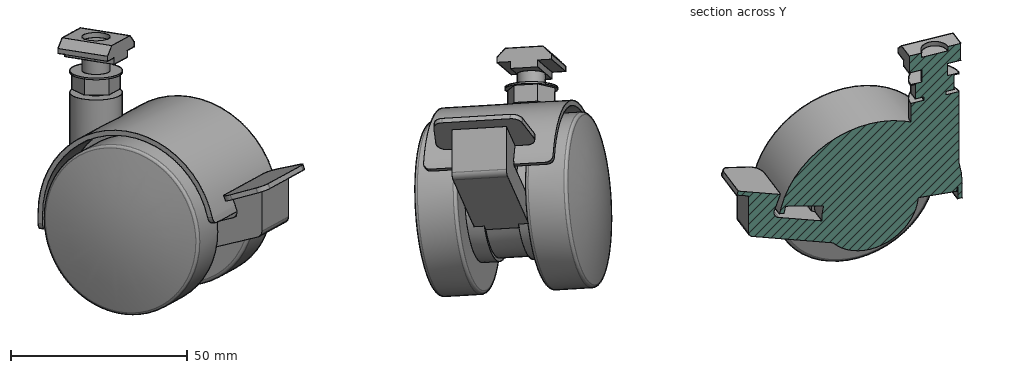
import cadquery as cq
import math


wheel_radius = 25.0
wheel_inner_y = 10.0
wheel_rim_y = 22.3
wheel_crown_y = 25.5
wheel_edge_fillet = 1.0
wheel_hub_radius = 16.0

body_thickness = 10.0
body_hub_radius = 15.0
web_start_angle = 15.0
web_end_angle = 185.0

cover_outer_radius = 28.5
cover_wall = 1.5
cover_inner_radius = cover_outer_radius - cover_wall
cover_width = 38.0
cover_front_drop = 5.0
cover_rear_angle = 10.0
cover_corner_radius = 2.0

lever_tilt = 20.0
pedal_start = 30.0
pedal_length = 14.0
pedal_thickness = 1.5
pedal_root_width = 30.0
pedal_taper = 10.0
pedal_corner_radius = 3.0
lever_thickness = 16.0
lever_notch_depth = 6.0
lever_depth = 13.0
lever_rear_x = 37.7
lever_corner_radius = 2.0

stem_x = -20.0
stem_diameter = 15.0
stem_top_z = 32.0
neck_diameter = 7.0
nut_bottom_z = 33.0
nut_across_flats = 12.0
nut_height = 5.0
washer_diameter = 15.0
washer_thickness = 0.5
bolt_diameter = 8.0
bolt_exposed_length = 4.0
head_length = 16.0
head_width = 16.0
head_top_width = 11.0
head_neck_width = 8.0
head_neck_height = 2.0
head_side_height = 1.5
head_height = 6.0
head_hole_depth = 1.5

washer_bottom_z = nut_bottom_z + nut_height
head_bottom_z = washer_bottom_z + washer_thickness + bolt_exposed_length
head_top_z = head_bottom_z + head_height


def polar(radius, angle):
    """Point in the XZ plane at an angle measured from +X towards +Z."""
    return radius * math.cos(math.radians(angle)), radius * math.sin(math.radians(angle))


def y_cylinder(radius, width):
    """Cylinder on the axle, centred on the mid plane."""
    return cq.Workplane("XZ").circle(radius).extrude(width / 2, both=True)


def z_cylinder(diameter, bottom_z, top_z):
    """Upright cylinder on the stem axis."""
    base = cq.Workplane("XY").workplane(offset=bottom_z).center(stem_x, 0)
    return base.circle(diameter / 2).extrude(top_z - bottom_z)


def make_wheel():
    """Wheel on the +Y side with a domed outer face and rounded rims."""
    crown_rise = wheel_crown_y - wheel_rim_y
    dome_radius = (wheel_radius**2 + crown_rise**2) / (2 * crown_rise)
    mid_r = wheel_radius / 2
    mid_y = wheel_crown_y - dome_radius + math.sqrt(dome_radius**2 - mid_r**2)
    profile = (
        cq.Workplane("XY")
        .moveTo(0, wheel_inner_y)
        .lineTo(wheel_radius, wheel_inner_y)
        .lineTo(wheel_radius, wheel_rim_y)
        .threePointArc((mid_r, mid_y), (0, wheel_crown_y))
        .close()
    )
    wheel = profile.revolve(360, (0, 0, 0), (0, 1, 0))
    return wheel.edges(cq.selectors.RadiusNthSelector(0)).fillet(wheel_edge_fillet)


def make_wheel_hubs():
    """Wheel hubs filling the gaps between the body and the two wheels."""
    full_hub = y_cylinder(wheel_hub_radius, 2 * wheel_inner_y)
    return full_hub.cut(y_cylinder(wheel_hub_radius, body_thickness))


def make_body():
    """Round hub with a sector web that carries the cover."""
    start = polar(cover_inner_radius, web_start_angle)
    middle = polar(cover_inner_radius, (web_start_angle + web_end_angle) / 2)
    end = polar(cover_inner_radius, web_end_angle)
    web = (
        cq.Workplane("XZ")
        .lineTo(*start)
        .threePointArc(middle, end)
        .close()
        .extrude(body_thickness / 2, both=True)
    )
    return y_cylinder(body_hub_radius, body_thickness).union(web)


def make_cover():
    """Curved shell, straight below the axle at the front, with rounded corners."""
    top_angle = (cover_rear_angle + 180) / 2
    shell = (
        cq.Workplane("XZ")
        .moveTo(-cover_outer_radius, -cover_front_drop)
        .lineTo(-cover_outer_radius, 0)
        .threePointArc(polar(cover_outer_radius, top_angle), polar(cover_outer_radius, cover_rear_angle))
        .lineTo(*polar(cover_inner_radius, cover_rear_angle))
        .threePointArc(polar(cover_inner_radius, top_angle), (-cover_inner_radius, 0))
        .lineTo(-cover_inner_radius, -cover_front_drop)
        .close()
        .extrude(cover_width / 2, both=True)
    )
    middle_x, middle_z = polar((cover_inner_radius + cover_outer_radius) / 2, cover_rear_angle)
    corners = []
    for side in (-1, 1):
        side_y = side * cover_width / 2
        corners.append((-cover_outer_radius + cover_wall / 2, side_y, -cover_front_drop))
        corners.append((middle_x, side_y, middle_z))
    for corner in corners:
        edge = shell.edges(cq.selectors.NearestToPointSelector(corner))
        shell = edge.fillet(cover_corner_radius)
    return shell


def make_lever():
    """Brake lever: a tapered pedal plate on a notched arm that runs into the hub."""
    pedal_end = pedal_start + pedal_length
    root_half = pedal_root_width / 2
    end_half = root_half - pedal_length * math.tan(math.radians(pedal_taper))
    pedal = (
        cq.Workplane("XY")
        .polyline([
            (pedal_start, -root_half),
            (pedal_end, -end_half),
            (pedal_end, end_half),
            (pedal_start, root_half),
        ])
        .close()
        .extrude(pedal_thickness)
        .edges("|Z")
        .fillet(pedal_corner_radius)
    )

    tilt = math.radians(lever_tilt)
    rear_top = lever_rear_x / math.cos(tilt)
    rear_bottom = rear_top - lever_depth * math.tan(tilt)
    arm = (
        cq.Workplane("XZ")
        .polyline([
            (0, -lever_depth),
            (rear_bottom, -lever_depth),
            (rear_top, 0),
            (pedal_start, 0),
            (pedal_start, -lever_notch_depth),
            (0, -lever_notch_depth),
        ])
        .close()
        .extrude(lever_thickness / 2, both=True)
    )
    for corner in ((rear_bottom, 0, -lever_depth), (pedal_start, 0, -lever_notch_depth)):
        arm = arm.edges(cq.selectors.NearestToPointSelector(corner)).fillet(lever_corner_radius)

    return pedal.union(arm).rotate((0, 0, 0), (0, 1, 0), -lever_tilt)


def make_stem():
    """Stem tube blended into the cover, with neck, nut, washer and bolt above it."""
    cavity = y_cylinder(cover_inner_radius, cover_width)
    stem = z_cylinder(stem_diameter, 0, stem_top_z).cut(cavity)
    neck = z_cylinder(neck_diameter, stem_top_z, nut_bottom_z)
    nut = (
        cq.Workplane("XY")
        .workplane(offset=nut_bottom_z)
        .center(stem_x, 0)
        .polygon(6, nut_across_flats, circumscribed=True)
        .extrude(nut_height)
    )
    washer = z_cylinder(washer_diameter, washer_bottom_z, washer_bottom_z + washer_thickness)
    bolt = z_cylinder(bolt_diameter, washer_bottom_z, head_bottom_z)
    return stem.union(neck).union(nut).union(washer).union(bolt)


def make_head():
    """T-slot head along X, with bevelled upper edges and a round recess on top."""
    flange_z = head_bottom_z + head_neck_height
    bevel_z = flange_z + head_side_height
    half_profile = [
        (head_neck_width / 2, head_bottom_z),
        (head_neck_width / 2, flange_z),
        (head_width / 2, flange_z),
        (head_width / 2, bevel_z),
        (head_top_width / 2, head_top_z),
    ]
    mirrored = [(-y, z) for y, z in reversed(half_profile)]
    head = (
        cq.Workplane("YZ", origin=(stem_x, 0, 0))
        .polyline(half_profile + mirrored)
        .close()
        .extrude(head_length / 2, both=True)
    )
    return head.cut(z_cylinder(bolt_diameter, head_top_z - head_hole_depth, head_top_z))


wheel = make_wheel()
result = (
    make_body()
    .union(make_wheel_hubs())
    .union(wheel)
    .union(wheel.mirror("XZ"))
    .union(make_cover())
    .union(make_lever())
    .union(make_stem())
    .union(make_head())
)